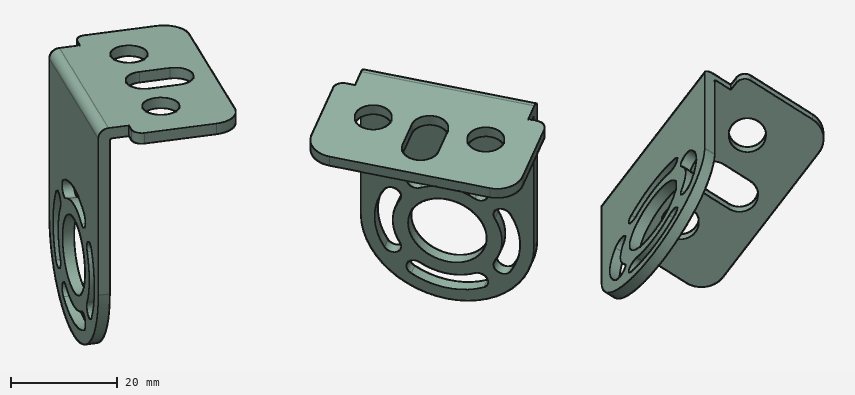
import cadquery as cq
import math

height = 52.0
depth = 27.0
thickness = 2.3
bend_inner_radius = 0.4
bend_outer_radius = 2.0

flange_width = 41.4
flange_wide_depth = 21.0
rear_corner_radius = 5.0
front_corner_radius = 2.0
mount_hole_diameter = 7.0
mount_hole_offset = 11.0
mount_hole_y = depth - 13.1
center_slot_length = 13.0
center_slot_y = depth - 10.25

strip_depth = depth - flange_wide_depth / 2

tongue_width = 33.95
tongue_radius = tongue_width / 2
bore_z = tongue_radius - height
bore_diameter = 15.4
arc_slot_radius = 12.5
arc_slot_width = 3.55
arc_slot_half_angle = 30
arc_slot_count = 4


def polar(radius, angle):
    """Point at an angle in degrees around the origin."""
    angle = math.radians(angle)
    return radius * math.cos(angle), radius * math.sin(angle)


def tongue_plane():
    """Sketch plane on the front face, centred on the bore."""
    return cq.Workplane("XZ", origin=(0, 0, bore_z))


def bent_strip():
    """L-shaped strip of tongue width with a rounded bend."""
    strip = (
        cq.Workplane("YZ")
        .polyline([
            (0, 0),
            (strip_depth, 0),
            (strip_depth, -thickness),
            (thickness, -thickness),
            (thickness, bore_z),
            (0, bore_z),
        ])
        .close()
        .extrude(tongue_width / 2, both=True)
    )
    outer_edge = cq.selectors.NearestToPointSelector((0, 0, 0))
    strip = strip.edges("|X").edges(outer_edge).fillet(bend_outer_radius)
    inner_edge = cq.selectors.NearestToPointSelector((0, thickness, -thickness))
    return strip.edges("|X").edges(inner_edge).fillet(bend_inner_radius)


def flange_plate():
    """Wide part of the flange with its four rounded corners."""
    plate = (
        cq.Workplane("XY")
        .center(0, depth - flange_wide_depth / 2)
        .rect(flange_width, flange_wide_depth)
        .extrude(-thickness)
    )
    plate = plate.edges("|Z and >Y").fillet(rear_corner_radius)
    return plate.edges("|Z and <Y").fillet(front_corner_radius)


def flange_openings():
    """Two round mounting holes and the slot between them."""
    holes = (
        cq.Workplane("XY")
        .pushPoints([(-mount_hole_offset, mount_hole_y), (mount_hole_offset, mount_hole_y)])
        .circle(mount_hole_diameter / 2)
        .extrude(-thickness)
    )
    slot = (
        cq.Workplane("XY")
        .center(0, center_slot_y)
        .slot2D(center_slot_length, mount_hole_diameter, 90)
        .extrude(-thickness)
    )
    return holes.union(slot)


def arc_slot(mid_angle):
    """Curved slot with round ends, concentric with the bore."""
    start = mid_angle - arc_slot_half_angle
    end = mid_angle + arc_slot_half_angle
    inner = arc_slot_radius - arc_slot_width / 2
    outer = arc_slot_radius + arc_slot_width / 2
    tip_radius = math.hypot(arc_slot_radius, arc_slot_width / 2)
    tip_angle = math.degrees(math.atan2(arc_slot_width / 2, arc_slot_radius))
    start_tip = polar(tip_radius, start - tip_angle)
    end_tip = polar(tip_radius, end + tip_angle)
    return (
        tongue_plane()
        .moveTo(*polar(outer, start))
        .threePointArc(polar(outer, mid_angle), polar(outer, end))
        .threePointArc(end_tip, polar(inner, end))
        .threePointArc(polar(inner, mid_angle), polar(inner, start))
        .threePointArc(start_tip, polar(outer, start))
        .close()
        .extrude(-thickness)
    )


tongue_end = tongue_plane().circle(tongue_radius).extrude(-thickness)
bore = tongue_plane().circle(bore_diameter / 2).extrude(-thickness)

result = bent_strip().union(flange_plate()).union(tongue_end)
result = result.cut(flange_openings()).cut(bore)
for index in range(arc_slot_count):
    result = result.cut(arc_slot(index * 360 / arc_slot_count))